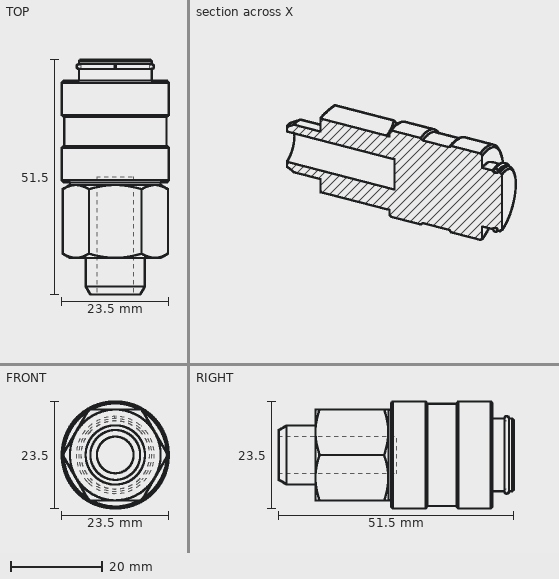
import cadquery as cq
import math

length = 51.5
spigot_radius = 6.5
spigot_tip_radius = 5.45
spigot_chamfer_length = 1.75
bore_radius = 4.0
bore_depth = 25.75

hex_start = 8.05
hex_end = 24.0
hex_across_flats = 20.0
hex_chamfer_angle = 30.0
hex_face_radius = 9.95
envelope_margin = 0.5

sleeve_start = 24.55
sleeve_end = 46.8
sleeve_radius = 11.75
waist_radius = 11.25
waist_start = 32.55
waist_end = 38.9
sleeve_chamfer = 0.45

neck_radius = 8.0
neck_chamfer = 0.45

ring_center = 49.9
ring_wire_radius = 0.5
ring_gap = 0.35


def revolve_about_y(profile):
    return profile.close().revolve(360, (0, 0, 0), (0, 1, 0))


def make_spigot():
    profile = (
        cq.Workplane("XY")
        .lineTo(spigot_tip_radius, 0)
        .lineTo(spigot_radius, spigot_chamfer_length)
        .lineTo(spigot_radius, hex_start)
        .lineTo(0, hex_start)
    )
    return revolve_about_y(profile)


def make_hexagon():
    """Hexagonal wrench section with conical chamfers on both ends."""
    corner_radius = hex_across_flats / math.sqrt(3)
    hex_length = hex_end - hex_start
    prism = (
        cq.Workplane("XZ", origin=(0, hex_start, 0))
        .polygon(6, 2 * corner_radius)
        .extrude(-hex_length)
    )
    envelope_radius = corner_radius + envelope_margin
    chamfer_length = (envelope_radius - hex_face_radius) * math.tan(math.radians(hex_chamfer_angle))
    envelope = (
        cq.Workplane("XY")
        .moveTo(0, hex_start)
        .lineTo(hex_face_radius, hex_start)
        .lineTo(envelope_radius, hex_start + chamfer_length)
        .lineTo(envelope_radius, hex_end - chamfer_length)
        .lineTo(hex_face_radius, hex_end)
        .lineTo(0, hex_end)
    )
    return prism.intersect(revolve_about_y(envelope))


def make_sleeve_and_neck():
    """Collar behind the hexagon, waisted grip sleeve and socket neck."""
    sleeve_edge_radius = sleeve_radius - sleeve_chamfer
    profile = (
        cq.Workplane("XY")
        .moveTo(0, hex_end)
        .lineTo(hex_face_radius, hex_end)
        .lineTo(hex_face_radius, sleeve_start)
        .lineTo(sleeve_edge_radius, sleeve_start)
        .lineTo(sleeve_radius, sleeve_start + sleeve_chamfer)
        .lineTo(sleeve_radius, waist_start - sleeve_chamfer)
        .lineTo(waist_radius, waist_start)
        .lineTo(waist_radius, waist_end)
        .lineTo(sleeve_radius, waist_end + sleeve_chamfer)
        .lineTo(sleeve_radius, sleeve_end - sleeve_chamfer)
        .lineTo(sleeve_edge_radius, sleeve_end)
        .lineTo(neck_radius, sleeve_end)
        .lineTo(neck_radius, length - neck_chamfer)
        .lineTo(neck_radius - neck_chamfer, length)
        .lineTo(0, length)
    )
    return revolve_about_y(profile)


def make_ring_torus():
    """Full wire ring whose wire is centered on the neck surface."""
    return (
        cq.Workplane("XY")
        .center(neck_radius, ring_center)
        .circle(ring_wire_radius)
        .revolve(360, (-neck_radius, 0, 0), (-neck_radius, 1, 0))
    )


def make_coupling():
    bore = cq.Workplane("XZ").circle(bore_radius).extrude(-bore_depth)
    solid = make_spigot().union(make_hexagon()).union(make_sleeve_and_neck())
    return solid.cut(bore).cut(make_ring_torus())


def make_snap_ring():
    """Wire ring seated in the neck groove, split at the top (+Z)."""
    cutter_height = neck_radius + 2 * ring_wire_radius
    gap = (
        cq.Workplane("XY", origin=(0, ring_center, 0))
        .rect(ring_gap, 4 * ring_wire_radius)
        .extrude(cutter_height)
    )
    return make_ring_torus().cut(gap)


coupling = make_coupling()
snap_ring = make_snap_ring()
result = cq.Compound.makeCompound([coupling.val(), snap_ring.val()])